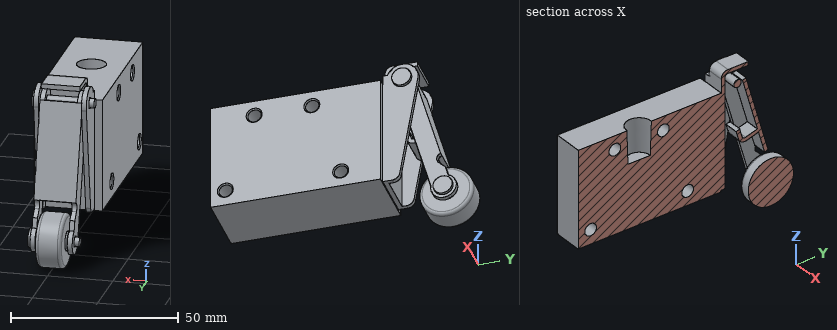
import cadquery as cq
import math


BLOCK_WIDTH = 21.0
BLOCK_LENGTH = 53.0
BLOCK_HEIGHT = 35.2
PORT_Y = -30.4
PORT_DIAMETER = 9.0
PORT_BOTTOM_DIAMETER = 8.2
PORT_DEPTH = 12.0
SCREW_DIAMETER = 4.2
SCREW_MOUTH_DIAMETER = 5.0
UPPER_SCREW_Z = 30.2
LOWER_SCREW_Z = 5.2
UPPER_SCREW_PITCH = 18.0
LOWER_SCREW_PITCH = 2 * UPPER_SCREW_PITCH

SHEET = 1.5
BEND_INNER_RADIUS = 1.0
BEND_OUTER_RADIUS = BEND_INNER_RADIUS + SHEET

PIVOT_Y = 6.1
PIVOT_Z = 36.2
PIN_DIAMETER = 2.9
PIN_HOLE_DIAMETER = 3.3
PIN_OVERHANG = 1.5
PIN_HEAD_DIAMETER = 6.0
PIN_HEAD_THICKNESS = 1.0

BRACKET_WIDTH = 16.2
BRACKET_BOTTOM = 0.6
BRACKET_SHOULDER_Z = 38.1
BRACKET_EYE_RADIUS = 5.0
BRACKET_EDGE_TILT = 9.8
BRACKET_CORNER_RADIUS = 2.4
TAB_WIDTH = 11.9
TAB_TOP = 42.6
TAB_REACH = 10.2

LEVER_TILT = 16.0
LEVER_WIDTH = 13.0
LEVER_OUTER_EDGE = 3.4
LEVER_INNER_EDGE = -2.7
LEVER_EYE_RADIUS = 4.0
PIVOT_EYE_DROP = 0.5
AXLE_REACH = 41.6
AXLE_OFFSET = 1.0
WEB_END = 30.0
NOTCH_BOTTOM = 31.4
NOTCH_RELIEF_END = 32.6
NOTCH_END = 35.3
NOTCH_FLOOR = 1.7
NOTCH_RAMP_START = 1.8
TONGUE_BEND_REACH = 19.2
TONGUE_BEND_OFFSET = -2.7
TONGUE_UPRIGHT = 3.2

ROLLER_DIAMETER = 17.0
ROLLER_WIDTH = 8.0
ROLLER_EDGE_RADIUS = 1.0
HUB_DIAMETER = 6.0
HUB_WIDTH = 9.0
HUB_CHAMFER = 0.2


def x_plane(x):
    """Sketch plane across X, with sketch axes along Y and Z."""
    return cq.Workplane("YZ", origin=(x, 0, 0))


def x_cylinder(center, diameter, x_start, x_end):
    return x_plane(x_start).center(*center).circle(diameter / 2).extrude(x_end - x_start)


def side_pair(outline, width):
    """Two sheet-metal cheeks whose outer faces are `width` apart; `outline` sketches on a plane."""
    right = outline(x_plane(width / 2 - SHEET)).extrude(SHEET)
    left = outline(x_plane(-width / 2)).extrude(SHEET)
    return right.union(left)


def make_block():
    block = cq.Workplane("XY").box(
        BLOCK_WIDTH, BLOCK_LENGTH, BLOCK_HEIGHT, centered=(True, False, False)
    ).translate((0, -BLOCK_LENGTH, 0))

    screw_chamfer = (SCREW_MOUTH_DIAMETER - SCREW_DIAMETER) / 2
    rows = ((UPPER_SCREW_Z, UPPER_SCREW_PITCH), (LOWER_SCREW_Z, LOWER_SCREW_PITCH))
    for z, pitch in rows:
        for side in (-1, 1):
            center = (PORT_Y + side * pitch / 2, z)
            hole = x_cylinder(center, SCREW_DIAMETER, -BLOCK_WIDTH / 2, BLOCK_WIDTH / 2)
            block = block.cut(hole)
    block = block.edges("%CIRCLE").chamfer(screw_chamfer)

    port = (
        cq.Workplane("XY", origin=(0, PORT_Y, BLOCK_HEIGHT))
        .circle(PORT_DIAMETER / 2)
        .workplane(offset=-PORT_DEPTH)
        .circle(PORT_BOTTOM_DIAMETER / 2)
        .loft(ruled=True)
    )
    return block.cut(port)


def bracket_cheek(plane):
    """Round eye on the pivot, tapering down to a rounded lower corner against the block."""
    tilt = math.radians(BRACKET_EDGE_TILT)
    shoulder_rise = BRACKET_SHOULDER_Z - PIVOT_Z
    shoulder_y = PIVOT_Y - math.sqrt(BRACKET_EYE_RADIUS**2 - shoulder_rise**2)
    tangent_y = PIVOT_Y + BRACKET_EYE_RADIUS * math.cos(tilt)
    tangent_z = PIVOT_Z - BRACKET_EYE_RADIUS * math.sin(tilt)
    corner_y = tangent_y - (tangent_z - BRACKET_BOTTOM) * math.tan(tilt)

    setback = BRACKET_CORNER_RADIUS * math.tan((math.pi / 2 - tilt) / 2)
    arc_start = (corner_y + setback * math.sin(tilt), BRACKET_BOTTOM + setback * math.cos(tilt))
    arc_end = (corner_y - setback, BRACKET_BOTTOM)
    return (
        plane.moveTo(0, BRACKET_BOTTOM)
        .lineTo(0, BRACKET_SHOULDER_Z)
        .lineTo(shoulder_y, BRACKET_SHOULDER_Z)
        .threePointArc((PIVOT_Y, PIVOT_Z + BRACKET_EYE_RADIUS), (tangent_y, tangent_z))
        .lineTo(*arc_start)
        .tangentArcPoint(arc_end, relative=False)
        .close()
    )


def make_bracket():
    cheeks = side_pair(bracket_cheek, BRACKET_WIDTH)
    cheeks = cheeks.cut(
        x_cylinder((PIVOT_Y, PIVOT_Z), PIN_HOLE_DIAMETER, -BRACKET_WIDTH / 2, BRACKET_WIDTH / 2)
    )
    base = cq.Workplane("XY").box(
        BRACKET_WIDTH, SHEET, BRACKET_SHOULDER_Z - BRACKET_BOTTOM, centered=(True, False, False)
    ).translate((0, 0, BRACKET_BOTTOM))

    tab = (
        x_plane(-TAB_WIDTH / 2)
        .moveTo(0, BRACKET_BOTTOM)
        .lineTo(0, TAB_TOP - BEND_OUTER_RADIUS)
        .radiusArc((BEND_OUTER_RADIUS, TAB_TOP), BEND_OUTER_RADIUS)
        .lineTo(TAB_REACH, TAB_TOP)
        .lineTo(TAB_REACH, TAB_TOP - SHEET)
        .lineTo(BEND_OUTER_RADIUS, TAB_TOP - SHEET)
        .radiusArc((SHEET, TAB_TOP - BEND_OUTER_RADIUS), -BEND_INNER_RADIUS)
        .lineTo(SHEET, BRACKET_BOTTOM)
        .close()
        .extrude(TAB_WIDTH)
    )
    return cheeks.union(base).union(tab)


def lever_cheek(plane):
    """Straight arm with a round upper end and a relief notch where the web stops."""
    outer = LEVER_OUTER_EDGE
    inner = LEVER_INNER_EDGE
    radius = LEVER_EYE_RADIUS

    upper_eye_x = outer - radius
    upper_eye_z = -PIVOT_EYE_DROP
    upper_inner_z = upper_eye_z - math.sqrt(radius**2 - (inner - upper_eye_x) ** 2)
    lower_outer_z = -AXLE_REACH + math.sqrt(radius**2 - (outer - AXLE_OFFSET) ** 2)
    lower_inner_z = -AXLE_REACH + math.sqrt(radius**2 - (inner - AXLE_OFFSET) ** 2)
    return (
        plane.moveTo(outer, upper_eye_z)
        .lineTo(outer, -WEB_END)
        .threePointArc((NOTCH_FLOOR, -NOTCH_BOTTOM), (NOTCH_RAMP_START, -NOTCH_RELIEF_END))
        .lineTo(outer, -NOTCH_END)
        .lineTo(outer, lower_outer_z)
        .threePointArc((AXLE_OFFSET, -AXLE_REACH - radius), (inner, lower_inner_z))
        .lineTo(inner, upper_inner_z)
        .threePointArc((upper_eye_x, upper_eye_z + radius), (outer, upper_eye_z))
        .close()
    )


def tongue_outline(plane):
    """Tongue running inward from the web and bent up towards the pivot."""
    web_side = LEVER_OUTER_EDGE
    bend_x = TONGUE_BEND_OFFSET
    bend_z = -TONGUE_BEND_REACH
    return (
        plane.moveTo(web_side, bend_z - BEND_OUTER_RADIUS)
        .lineTo(bend_x, bend_z - BEND_OUTER_RADIUS)
        .radiusArc((bend_x - BEND_OUTER_RADIUS, bend_z), BEND_OUTER_RADIUS)
        .lineTo(bend_x - BEND_OUTER_RADIUS, bend_z + TONGUE_UPRIGHT)
        .lineTo(bend_x - BEND_INNER_RADIUS, bend_z + TONGUE_UPRIGHT)
        .lineTo(bend_x - BEND_INNER_RADIUS, bend_z)
        .radiusArc((bend_x, bend_z - BEND_INNER_RADIUS), -BEND_INNER_RADIUS)
        .lineTo(web_side, bend_z - BEND_INNER_RADIUS)
        .close()
    )


def pin(center, plate_width):
    """Headed pin through a pair of cheeks, with its head against the +X cheek."""
    half = plate_width / 2
    shank = x_cylinder(center, PIN_DIAMETER, -half - PIN_OVERHANG, half)
    head = x_cylinder(center, PIN_HEAD_DIAMETER, half, half + PIN_HEAD_THICKNESS)
    return shank.union(head)


def roller(center):
    """Round-edged wheel with a raised hub ring on both faces."""
    wheel = x_cylinder(center, ROLLER_DIAMETER, -ROLLER_WIDTH / 2, ROLLER_WIDTH / 2)
    wheel = wheel.edges().fillet(ROLLER_EDGE_RADIUS)
    hub = x_cylinder(center, HUB_DIAMETER, -HUB_WIDTH / 2, HUB_WIDTH / 2)
    return wheel.union(hub.edges().chamfer((HUB_WIDTH - ROLLER_WIDTH) / 2, HUB_CHAMFER))


def make_lever():
    """Channel lever with its roller, tilted about the pivot."""
    axle = (AXLE_OFFSET, -AXLE_REACH)
    lever = side_pair(lever_cheek, LEVER_WIDTH)
    lever = lever.cut(x_cylinder(axle, PIN_HOLE_DIAMETER, -LEVER_WIDTH / 2, LEVER_WIDTH / 2))

    web = cq.Workplane("XY").box(
        LEVER_WIDTH, SHEET, WEB_END, centered=(True, False, False)
    ).translate((0, LEVER_OUTER_EDGE - SHEET, -WEB_END))
    gap = LEVER_WIDTH - 2 * SHEET
    tongue = tongue_outline(x_plane(-gap / 2)).extrude(gap)

    lever = lever.union(web).union(tongue)
    lever = lever.union(pin(axle, LEVER_WIDTH)).union(roller(axle))
    return lever.rotate((0, 0, 0), (1, 0, 0), LEVER_TILT).translate((0, PIVOT_Y, PIVOT_Z))


result = (
    make_block()
    .union(make_bracket())
    .union(make_lever())
    .union(pin((PIVOT_Y, PIVOT_Z), BRACKET_WIDTH))
)